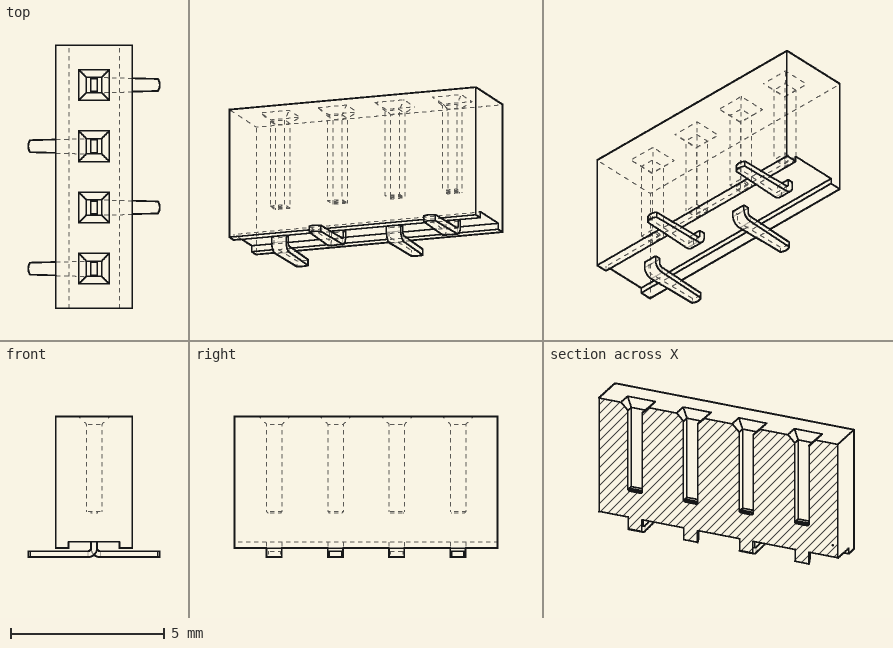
import cadquery as cq

contact_count = 4
pitch = 2.0
overall_height = 4.6
lead_span = 4.3

body_width = 2.5
body_length = 8.6
standoff = 0.3
foot_width = 0.42
channel_height = 0.2

mouth_size = 1.0
cavity_size = 0.5
mouth_depth = (mouth_size - cavity_size) / 2
cavity_floor_z = 1.5
slot_width = 0.2
slot_floor_length = 0.42

metal_thickness = 0.2
root_width = 0.5
tip_width = 0.4
tip_bulge = 0.06
bend_inner_radius = 0.1

channel_roof_z = standoff + channel_height
half_thickness = metal_thickness / 2
slot_depth = (cavity_size - slot_floor_length) / 2
lead_reach = lead_span / 2
tip_corner_x = lead_reach - tip_bulge
bend_outer_radius = bend_inner_radius + metal_thickness
bend_end_x = half_thickness + bend_inner_radius
contact_ys = [(i - (contact_count - 1) / 2) * pitch for i in range(contact_count)]


def make_body():
    """Rectangular block with a channel along Y that leaves two feet."""
    block = cq.Workplane("XY").workplane(offset=standoff).rect(body_width, body_length)
    block = block.extrude(overall_height - standoff)
    channel = cq.Workplane("XY").workplane(offset=standoff)
    channel = channel.rect(body_width - 2 * foot_width, body_length).extrude(channel_height)
    return block.cut(channel)


def make_socket(y):
    """Square cavity with a pyramidal lead-in at the top and a slot in its floor."""
    mouth = (
        cq.Workplane("XY", origin=(0, y, overall_height))
        .rect(mouth_size, mouth_size)
        .workplane(offset=-mouth_depth)
        .rect(cavity_size, cavity_size)
        .loft()
    )
    cavity = (
        cq.Workplane("XY", origin=(0, y, cavity_floor_z))
        .rect(cavity_size, cavity_size)
        .extrude(overall_height - mouth_depth - cavity_floor_z)
    )
    slot = (
        cq.Workplane("YZ", origin=(0, y, cavity_floor_z))
        .moveTo(-cavity_size / 2, 0)
        .lineTo(-slot_floor_length / 2, -slot_depth)
        .lineTo(slot_floor_length / 2, -slot_depth)
        .lineTo(cavity_size / 2, 0)
        .close()
        .extrude(slot_width / 2, both=True)
    )
    return mouth.union(cavity).union(slot)


def make_lead():
    """Stem bent outward into a flat lead along +X that narrows to a rounded tip."""
    profile = (
        cq.Workplane("XZ")
        .moveTo(-half_thickness, channel_roof_z)
        .lineTo(-half_thickness, bend_outer_radius)
        .radiusArc((bend_end_x, 0), -bend_outer_radius)
        .lineTo(lead_reach, 0)
        .lineTo(lead_reach, metal_thickness)
        .lineTo(bend_end_x, metal_thickness)
        .radiusArc((half_thickness, bend_outer_radius), bend_inner_radius)
        .lineTo(half_thickness, channel_roof_z)
        .close()
        .extrude(root_width / 2, both=True)
    )
    plan = (
        cq.Workplane("XY")
        .moveTo(-half_thickness, -root_width / 2)
        .lineTo(bend_end_x, -root_width / 2)
        .lineTo(tip_corner_x, -tip_width / 2)
        .threePointArc((lead_reach, 0), (tip_corner_x, tip_width / 2))
        .lineTo(bend_end_x, root_width / 2)
        .lineTo(-half_thickness, root_width / 2)
        .close()
        .extrude(channel_roof_z)
    )
    return profile.intersect(plan)


result = make_body()
for y in contact_ys:
    result = result.cut(make_socket(y))

lead = make_lead()
for i, y in enumerate(contact_ys):
    turn = 180 if i % 2 == 0 else 0
    result = result.union(lead.rotate((0, 0, 0), (0, 0, 1), turn).translate((0, y, 0)))